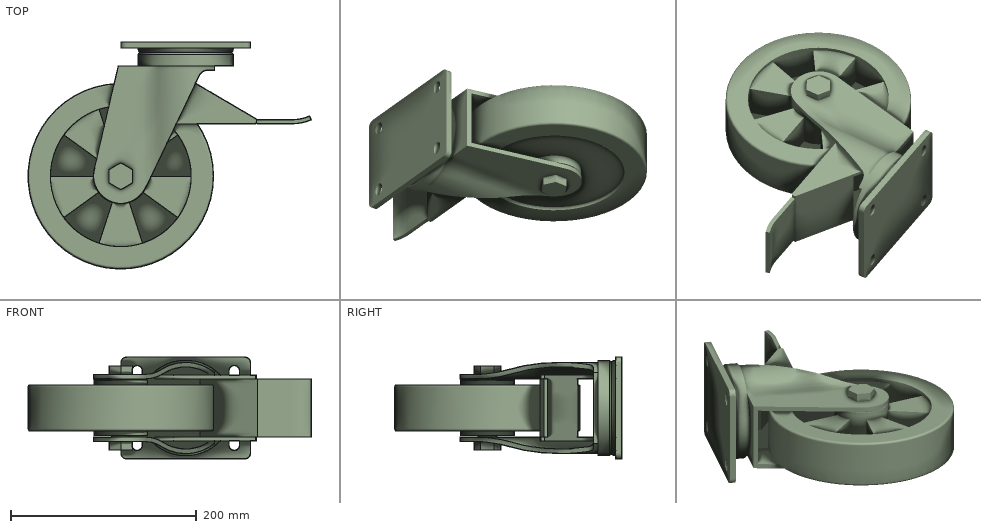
import cadquery as cq
import math


overall_length = 305.3

wheel_diameter = 200.0
wheel_width = 50.0
wheel_edge_radius = 2.5
rim_inner_diameter = 151.7
spoke_recess = 4.0
pocket_count = 5
pocket_floor = 5.0
hub_diameter = 58.0
hub_width = 59.8
axle_diameter = 20.0

hex_across_corners = 29.0
bolt_length = 91.0

swivel_x = 70.0
plate_length = 139.8
plate_width = 110.0
plate_thickness = 6.7
plate_top = 144.7
plate_bottom = plate_top - plate_thickness
plate_corner_radius = 6.5
slot_spacing_x = 104.7
slot_spacing_z = 77.2
slot_width = 11.0
slot_length = 14.0

race_diameter = 103.0
race_groove_depth = 1.8
race_groove_y = 133.5
race_rim_top = 131.3

fork_top = 119.0
fork_wall = 5.0
roof_bottom = fork_top - fork_wall
fork_outer_half = 36.3
fork_inner_half = fork_outer_half - fork_wall
fork_foot_radius = 29.5
fork_front_x = -2.7
fork_rear_x = 101.0
fork_rear_angle = math.radians(64.5)
fork_corner_radius = 10.5
bulge_radius = 49.2
bulge_bend_radius = 30.5

brake_half_width = 35.5
brake_wall = 4.0
brake_slope = math.radians(30.4)
brake_bottom = 56.5
brake_start_x = 36.5
brake_roof_start_x = 85.2
brake_end_x = 146.3
brake_nose_top = 61.7
brake_nose_chamfer = 1.2
lever_bend_x = 184.7
lever_thickness = 4.5
lever_bend_radius = 52.0
lever_tip_x = overall_length - wheel_diameter / 2


def disc(diameter, width):
    """Cylinder on the wheel axle, centred on Z = 0."""
    return cq.Workplane("XY", origin=(0, 0, -width / 2)).circle(diameter / 2).extrude(width)


def make_wheel():
    tread = disc(wheel_diameter, wheel_width).edges().fillet(wheel_edge_radius)
    hub = disc(hub_diameter, hub_width)
    web_width = wheel_width - 2 * spoke_recess
    web = disc(rim_inner_diameter, web_width)
    rim = tread.cut(disc(rim_inner_diameter, wheel_width))

    sector = 360 / (2 * pocket_count)
    reach = rim_inner_diameter
    pocket_wedge = (
        cq.Workplane("XY")
        .workplane(offset=pocket_floor - web_width / 2)
        .polyline([
            (0, 0),
            (reach, 0),
            (reach * math.cos(math.radians(sector)), reach * math.sin(math.radians(sector))),
        ])
        .close()
        .extrude(web_width)
    )
    for index in range(pocket_count):
        web = web.cut(pocket_wedge.rotate((0, 0, 0), (0, 0, 1), 2 * sector * index))
    return rim.union(web).union(hub)


def make_axle():
    heads = (
        cq.Workplane("XY")
        .polygon(6, hex_across_corners)
        .extrude(bolt_length / 2, both=True)
        .rotate((0, 0, 0), (0, 0, 1), 90)
        .cut(disc(2 * hex_across_corners, 2 * fork_inner_half))
    )
    return heads.union(disc(axle_diameter, bolt_length))


def make_plate():
    return (
        cq.Workplane("XZ", origin=(swivel_x, plate_bottom, 0))
        .rect(plate_length, plate_width)
        .extrude(-plate_thickness)
        .edges("|Y")
        .fillet(plate_corner_radius)
        .faces("<Y")
        .workplane(origin=(swivel_x, plate_bottom, 0))
        .rarray(slot_spacing_x, slot_spacing_z, 2, 2)
        .slot2D(slot_length, slot_width, 90)
        .cutThruAll()
    )


def make_race():
    radius = race_diameter / 2
    groove_radius = radius - race_groove_depth
    bead_middle = (radius - race_groove_depth / 4, (plate_bottom + race_groove_y) / 2)
    return (
        cq.Workplane("XY")
        .moveTo(0, fork_top)
        .lineTo(radius, fork_top)
        .lineTo(radius, race_rim_top)
        .lineTo(groove_radius, race_groove_y)
        .threePointArc(bead_middle, (radius, plate_bottom))
        .lineTo(0, plate_bottom)
        .close()
        .revolve(360, (0, 0, 0), (0, 1, 0))
        .translate((swivel_x, 0, 0))
    )


def fork_block(half_width, arc_radius, bend_radius, top):
    """Block up to the height top, with straight sides that bend out into arcs round the swivel axis."""
    bend_z = half_width + bend_radius
    centre_gap = arc_radius + bend_radius
    bend_x = swivel_x - math.sqrt(centre_gap**2 - bend_z**2)
    sweep = math.acos(bend_z / centre_gap)

    def on_bend(angle):
        return (bend_x + bend_radius * math.sin(angle), bend_z - bend_radius * math.cos(angle))

    arc_end = (fork_rear_x, math.sqrt(arc_radius**2 - (fork_rear_x - swivel_x)**2))
    half = (
        cq.Workplane("XZ", origin=(0, top, 0))
        .moveTo(-hub_diameter, 0)
        .lineTo(-hub_diameter, half_width)
        .lineTo(bend_x, half_width)
        .threePointArc(on_bend(sweep / 2), on_bend(sweep))
        .threePointArc((swivel_x, arc_radius), arc_end)
        .lineTo(fork_rear_x, 0)
        .close()
        .extrude(top + hub_diameter)
    )
    return half.union(half.mirror("XY"))


def fork_side():
    """Side outline of the fork: tapered leg round the axle with a short lip behind the roof."""
    radius = fork_foot_radius
    front_angle = math.atan2(fork_top, fork_front_x) + math.acos(radius / math.hypot(fork_front_x, fork_top))
    front_tangent = (radius * math.cos(front_angle), radius * math.sin(front_angle))
    rear_tangent = (radius * math.sin(fork_rear_angle), -radius * math.cos(fork_rear_angle))
    corner_x = rear_tangent[0] + (roof_bottom - rear_tangent[1]) / math.tan(fork_rear_angle)
    return (
        cq.Workplane("XY")
        .moveTo(fork_front_x, fork_top)
        .lineTo(*front_tangent)
        .threePointArc((0, -radius), rear_tangent)
        .lineTo(corner_x, roof_bottom)
        .lineTo(fork_rear_x, roof_bottom)
        .lineTo(fork_rear_x, fork_top)
        .close()
        .extrude(bulge_radius, both=True)
        .edges(cq.selectors.NearestToPointSelector((corner_x, roof_bottom, 0)))
        .fillet(fork_corner_radius)
    )


def make_fork():
    outside = fork_block(fork_outer_half, bulge_radius, bulge_bend_radius, fork_top)
    inside = fork_block(
        fork_inner_half, bulge_radius - fork_wall, bulge_bend_radius + fork_wall, roof_bottom
    )
    return outside.cut(inside).intersect(fork_side())


def make_lever():
    lever_root_x = brake_end_x - lever_thickness

    inner_radius = lever_bend_radius - lever_thickness
    curl = math.asin((lever_tip_x - lever_bend_x) / lever_bend_radius)
    centre_y = brake_bottom + lever_bend_radius

    def on_curl(radius, angle):
        return (lever_bend_x + radius * math.sin(angle), centre_y - radius * math.cos(angle))

    return (
        cq.Workplane("XY")
        .moveTo(lever_root_x, brake_bottom)
        .lineTo(lever_bend_x, brake_bottom)
        .threePointArc(on_curl(lever_bend_radius, curl / 2), on_curl(lever_bend_radius, curl))
        .lineTo(*on_curl(inner_radius, curl))
        .threePointArc(
            on_curl(inner_radius, curl / 2),
            (lever_bend_x, brake_bottom + lever_thickness),
        )
        .lineTo(lever_root_x, brake_bottom + lever_thickness)
        .close()
        .extrude(fork_inner_half, both=True)
    )


def make_brake():
    roof_start_x = brake_end_x - (roof_bottom - brake_nose_top) / math.tan(brake_slope)
    channel = (
        cq.Workplane("XY")
        .polyline([
            (brake_start_x, brake_bottom),
            (brake_end_x - brake_nose_chamfer, brake_bottom),
            (brake_end_x, brake_bottom + brake_nose_chamfer),
            (brake_end_x, brake_nose_top),
            (roof_start_x, roof_bottom),
            (brake_start_x, roof_bottom),
        ])
        .close()
        .extrude(brake_half_width, both=True)
    )

    nose_under = brake_nose_top - brake_wall / math.cos(brake_slope)
    lever_start_x = brake_end_x + (nose_under - brake_bottom) / math.tan(brake_slope)
    roof_start_y = nose_under + (brake_end_x - brake_roof_start_x) * math.tan(brake_slope)
    inside = (
        cq.Workplane("XY")
        .polyline([
            (brake_start_x, brake_bottom),
            (lever_start_x, brake_bottom),
            (brake_roof_start_x, roof_start_y),
            (brake_roof_start_x, fork_top),
            (brake_start_x, fork_top),
        ])
        .close()
        .extrude(fork_inner_half, both=True)
    )
    return channel.union(make_lever()).cut(inside)


result = (
    make_wheel()
    .union(make_axle())
    .union(make_plate())
    .union(make_race())
    .union(make_fork())
    .union(make_brake())
)